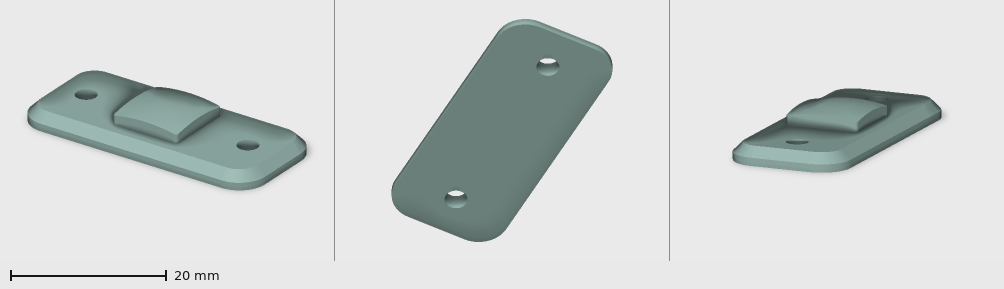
import cadquery as cq

plate_length = 36.2
plate_width = 16.07
plate_thickness = 2.4
plate_corner_radius = 4.0
plate_chamfer = 1.3

hole_diameter = 2.97
hole_spacing = 25.25

pad_size = 10.0
pad_corner_radius = 0.45
total_height = 4.75
dome_rise = 0.55

half_pad = pad_size / 2
dome_radius = (half_pad**2 + dome_rise**2) / (2 * dome_rise)


def make_plate():
    """Rounded plate with a chamfered top rim and two through holes."""
    return (
        cq.Workplane("XY")
        .rect(plate_length, plate_width)
        .extrude(plate_thickness)
        .edges("|Z")
        .fillet(plate_corner_radius)
        .faces(">Z")
        .chamfer(plate_chamfer)
        .faces(">Z")
        .workplane(centerOption="CenterOfBoundBox")
        .rarray(hole_spacing, 0.35, 2, 1)
        .hole(hole_diameter)
    )


def make_pad():
    """Square pad whose top is cut to a shallow spherical dome."""
    block = (
        cq.Workplane("XY")
        .rect(pad_size, pad_size)
        .extrude(total_height)
        .edges("|Z")
        .fillet(pad_corner_radius)
    )
    dome_center_height = total_height - dome_radius
    sphere = cq.Workplane("XY").sphere(dome_radius).translate((0, 0, dome_center_height))
    return block.intersect(sphere)


result = make_plate().union(make_pad())